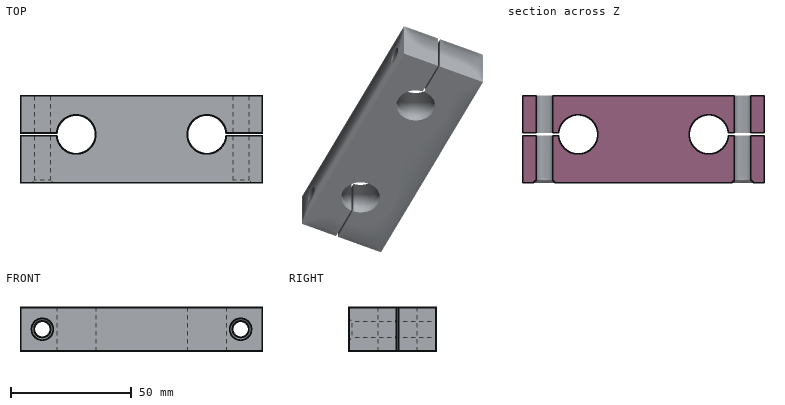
import cadquery as cq
import math

length = 100.0
width = 36.0
height = 18.0
front_y = -width / 2

bore_diameter = 16.0
bore_spacing = 54.0
bore_y = front_y + 20.0

slot_width = 1.0
slot_length = (length - bore_spacing) / 2

screw_diameter = 6.65
screw_spacing = 82.0
countersink_diameter = 9.0
countersink_angle = 90.0
countersink_depth = (
    (countersink_diameter - screw_diameter) / 2 / math.tan(math.radians(countersink_angle / 2))
)


def shaft_bore(x):
    """Vertical through bore for a shaft."""
    return cq.Workplane("XY").center(x, bore_y).circle(bore_diameter / 2).extrude(height / 2, both=True)


def clamp_slot(side):
    """Full-height slot from the end face to the bore axis; side is -1 or +1."""
    centre_x = side * (length - slot_length) / 2
    return cq.Workplane("XY").box(slot_length, slot_width, height).translate((centre_x, bore_y, 0))


def screw_hole(x):
    """Through hole along Y with a conical countersink at the front face."""
    front_centre = cq.Vector(x, front_y, 0)
    inward = cq.Vector(0, 1, 0)
    hole = cq.Solid.makeCylinder(screw_diameter / 2, width, front_centre, inward)
    countersink = cq.Solid.makeCone(
        countersink_diameter / 2, screw_diameter / 2, countersink_depth, front_centre, inward
    )
    return cq.Workplane(obj=hole).union(cq.Workplane(obj=countersink))


result = cq.Workplane("XY").box(length, width, height)
for side in (-1, 1):
    result = result.cut(shaft_bore(side * bore_spacing / 2))
    result = result.cut(clamp_slot(side))
    result = result.cut(screw_hole(side * screw_spacing / 2))